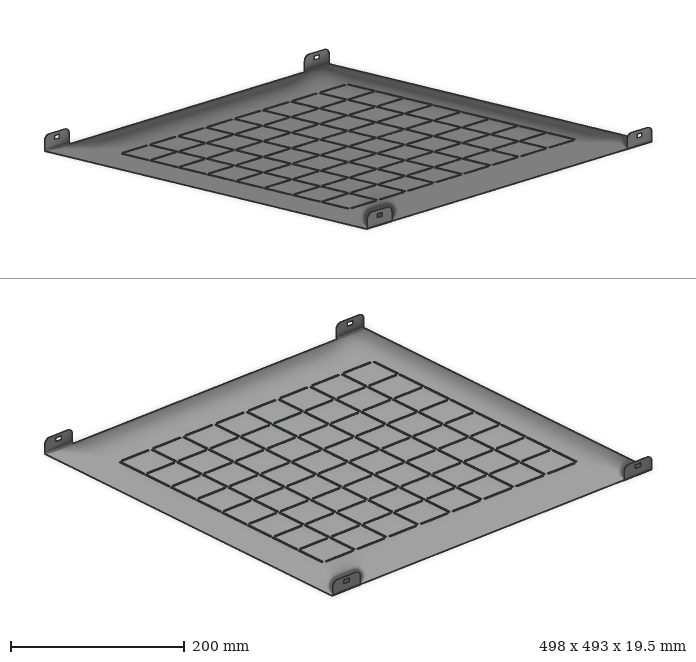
import cadquery as cq

length_x = 498.0
width_y = 493.0
height = 19.5
sheet = 0.8
bend_radius = 2.0

tab_width = 43.0
tab_corner_radius = 7.5
tab_hole_width = 8.5
tab_hole_height = 4.5
tab_hole_z = 13.0

cells = 8
grid_length_x = 352.0
pitch_x = grid_length_x / cells
grid_width_y = 392.0
pitch_y = grid_width_y / cells
slot_width = 2.0
slot_length = 41.0

overlap = 5.0


def grid_positions(pitch, count):
    """Evenly spaced coordinates, centred on zero."""
    return [(i - (count - 1) / 2) * pitch for i in range(count)]


def bent_sheet():
    """U-shaped sheet over the full width, with rounded bends along both X edges."""
    outer = (
        cq.Workplane("XY")
        .box(length_x, width_y, height, centered=(True, True, False))
        .edges("|Y and <Z")
        .fillet(bend_radius)
    )
    inner = (
        cq.Workplane("XY")
        .workplane(offset=sheet)
        .box(length_x - 2 * sheet, width_y + overlap, height, centered=(True, True, False))
        .edges("|Y and <Z")
        .fillet(bend_radius - sheet)
    )
    return outer.cut(inner)


def edge_recess():
    """Strips to remove between the corner tabs, setting the free plate edges back to the bend line."""
    recess_length = width_y - 2 * tab_width
    return (
        cq.Workplane("XY")
        .pushPoints([(-length_x / 2, 0), (length_x / 2, 0)])
        .rect(2 * bend_radius, recess_length)
        .extrude(height)
    )


def tab_holes():
    """Rectangular holes through the tabs, each cutter spanning both sides."""
    tab_y = (width_y - tab_width) / 2
    return (
        cq.Workplane("YZ")
        .pushPoints([(-tab_y, tab_hole_z), (tab_y, tab_hole_z)])
        .rect(tab_hole_width, tab_hole_height)
        .extrude(length_x / 2 + overlap, both=True)
    )


def grid_slots():
    """Separate slots along every cell side, leaving bridges at the cell corners."""
    cell_x = grid_positions(pitch_x, cells)
    cell_y = grid_positions(pitch_y, cells)
    line_x = grid_positions(pitch_x, cells + 1)
    line_y = grid_positions(pitch_y, cells + 1)
    along_x = (
        cq.Workplane("XY")
        .pushPoints([(x, y) for x in cell_x for y in line_y])
        .rect(slot_length, slot_width)
        .extrude(sheet + overlap)
    )
    along_y = (
        cq.Workplane("XY")
        .pushPoints([(x, y) for x in line_x for y in cell_y])
        .rect(slot_width, slot_length)
        .extrude(sheet + overlap)
    )
    return along_x, along_y


tray = bent_sheet().cut(edge_recess())
tray = tray.edges("|X and >Z").fillet(tab_corner_radius)
tray = tray.cut(tab_holes())
for slots in grid_slots():
    tray = tray.cut(slots)

result = tray